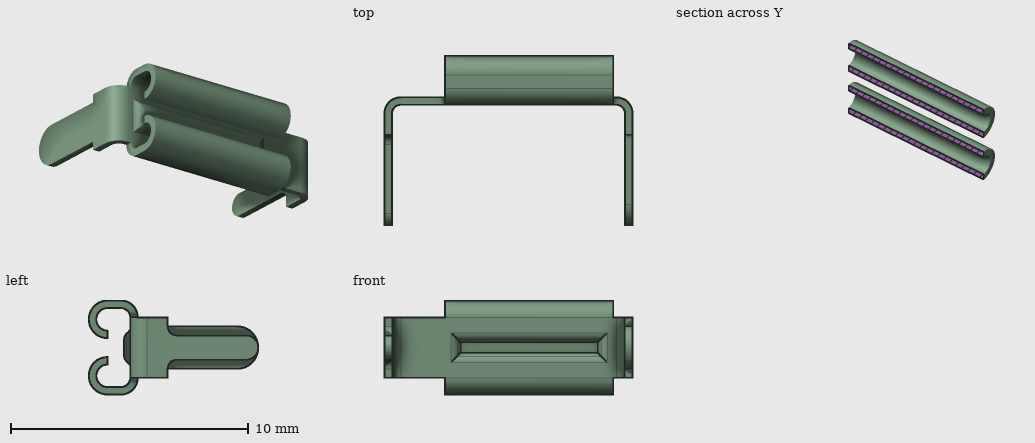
import cadquery as cq
import math

length = 10.46
sheet = 0.32
height = 2.54

leg_reach = 5.07
bend_radius = 0.69
shoulder_reach = 1.25
narrow_leg_width = 1.01
wide_leg_width = 1.8
root_fillet = (wide_leg_width - narrow_leg_width) / 2

curl_start = 2.55
curl_length = 7.09
curl_bend_radius = 0.71
curl_flat = 0.56
curl_hook_radius = 0.8

bead_depth = 0.26
bead_center_x = curl_start + curl_length / 2
pocket_floor_length = 5.76
pocket_floor_width = 0.43
bead_round = 0.37
bead_back_offset = 0.26


def make_strip():
    """Sheet bent into a U, at full height, with arms ending at the shoulders."""
    outer = (
        cq.Workplane("XY")
        .box(length, sheet + shoulder_reach, height, centered=(False, False, True))
        .translate((0, -shoulder_reach, 0))
        .edges("|Z and >Y")
        .fillet(bend_radius)
    )
    inner = (
        cq.Workplane("XY")
        .box(length - 2 * sheet, shoulder_reach, height, centered=(False, False, True))
        .translate((sheet, -shoulder_reach, 0))
        .edges("|Z and >Y")
        .fillet(bend_radius - sheet)
    )
    return outer.cut(inner)


def make_leg(x_start, width):
    """Flat leg with a full round tip, running forward from the shoulder."""
    half = width / 2
    tip_center = -leg_reach + half
    return (
        cq.Workplane("YZ", origin=(x_start, 0, 0))
        .moveTo(-shoulder_reach, -half)
        .lineTo(tip_center, -half)
        .threePointArc((-leg_reach, 0), (tip_center, half))
        .lineTo(-shoulder_reach, half)
        .close()
        .extrude(sheet)
    )


def make_root_fillet(side):
    """Concave fillet between the narrow leg and its shoulder; side is +1 or -1 along Z."""
    leg_edge = side * narrow_leg_width / 2
    center_y = -shoulder_reach - root_fillet
    center_z = leg_edge + side * root_fillet
    reach = root_fillet * math.sqrt(0.5)
    return (
        cq.Workplane("YZ")
        .moveTo(-shoulder_reach, leg_edge)
        .lineTo(-shoulder_reach, center_z)
        .threePointArc((center_y + reach, center_z - side * reach), (center_y, leg_edge))
        .close()
        .extrude(sheet)
    )


def make_upper_curl():
    """Wing that bends back from the top of the web, runs flat and hooks under itself."""
    diagonal = math.sqrt(0.5)
    web_top = height / 2
    crest = web_top + curl_bend_radius
    bend_y = curl_bend_radius
    hook_y = bend_y + curl_flat
    hook_z = crest - curl_hook_radius
    bend_inner = curl_bend_radius - sheet
    hook_inner = curl_hook_radius - sheet
    return (
        cq.Workplane("YZ", origin=(curl_start, 0, 0))
        .moveTo(0, web_top)
        .threePointArc(
            (bend_y - curl_bend_radius * diagonal, web_top + curl_bend_radius * diagonal),
            (bend_y, crest),
        )
        .lineTo(hook_y, crest)
        .threePointArc((hook_y + curl_hook_radius, hook_z), (hook_y, hook_z - curl_hook_radius))
        .lineTo(hook_y, hook_z - hook_inner)
        .threePointArc((hook_y + hook_inner, hook_z), (hook_y, hook_z + hook_inner))
        .lineTo(bend_y, crest - sheet)
        .threePointArc(
            (bend_y - bend_inner * diagonal, web_top + bend_inner * diagonal),
            (sheet, web_top),
        )
        .close()
        .extrude(curl_length)
    )


def make_frustum(base_y, tip_growth):
    """Pyramid frustum narrowing toward +Y; tip_growth enlarges the pocket floor on every side."""
    base_growth = tip_growth + bead_depth
    return (
        cq.Workplane("XZ", origin=(bead_center_x, base_y, 0))
        .rect(pocket_floor_length + 2 * base_growth, pocket_floor_width + 2 * base_growth)
        .workplane(offset=-bead_depth)
        .rect(pocket_floor_length + 2 * tip_growth, pocket_floor_width + 2 * tip_growth)
        .loft(combine=True)
    )


def emboss_bead(body):
    """Push the bead out of the back of the web and round its raised and mouth edges."""
    raised = make_frustum(sheet, bead_back_offset).faces(">Y").edges().fillet(bead_round)
    pocket = make_frustum(0, 0)
    mouth_half_length = pocket_floor_length / 2 + bead_depth
    mouth_half_width = pocket_floor_width / 2 + bead_depth
    margin = 0.01
    mouth_edges = cq.selectors.BoxSelector(
        (bead_center_x - mouth_half_length - margin, -margin, -mouth_half_width - margin),
        (bead_center_x + mouth_half_length + margin, margin, mouth_half_width + margin),
    )
    return body.union(raised).cut(pocket).edges(mouth_edges).fillet(bead_round)


strip = emboss_bead(make_strip())
upper_curl = make_upper_curl()
lower_curl = upper_curl.mirror("XY")
narrow_leg = make_leg(0, narrow_leg_width)
wide_leg = make_leg(length - sheet, wide_leg_width)

result = strip.union(upper_curl).union(lower_curl).union(narrow_leg).union(wide_leg)
for side in (1, -1):
    result = result.union(make_root_fillet(side))